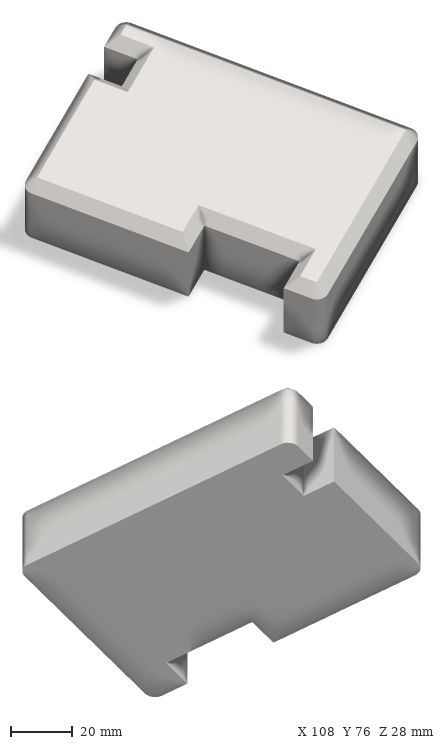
import cadquery as cq

length = 108.0
width = 76.0
height = 28.0
edge_size = 4.0

notch_depth = 12.0
front_notch_start = 60.0
front_notch_length = 34.0
left_notch_setback = 12.4
left_notch_length = 12.0


def full_height_box(x_size, y_size, x_min, y_min):
    """Full-height box with its front left corner at the given place."""
    box = cq.Workplane("XY").box(x_size, y_size, height, centered=False)
    return box.translate((x_min, y_min, 0))


def rounded_corner(x_axis, y_axis, turn):
    """Quarter post with a cone tip, turned about its own axis and set at the given place."""
    profile = (
        cq.Workplane("XZ")
        .polyline([(0, 0), (edge_size, 0), (edge_size, height - edge_size), (0, height)])
        .close()
    )
    quarter_post = profile.revolve(90, (0, 0), (0, 1))
    return quarter_post.rotate((0, 0, 0), (0, 0, 1), turn).translate((x_axis, y_axis, 0))


block = full_height_box(length, width, 0, 0)
front_notch = full_height_box(front_notch_length, notch_depth, front_notch_start, 0)
left_notch_start = width - left_notch_setback - left_notch_length
left_notch = full_height_box(notch_depth, left_notch_length, 0, left_notch_start)
body = block.cut(front_notch).cut(left_notch)

body = body.faces(">Z").chamfer(edge_size)

for x_side, y_side, turn in [(0, 0, 180), (1, 0, 270), (1, 1, 0), (0, 1, 90)]:
    square_x = x_side * (length - edge_size)
    square_y = y_side * (width - edge_size)
    body = body.cut(full_height_box(edge_size, edge_size, square_x, square_y))
    x_axis = length - edge_size if x_side else edge_size
    y_axis = width - edge_size if y_side else edge_size
    body = body.union(rounded_corner(x_axis, y_axis, turn))

result = body